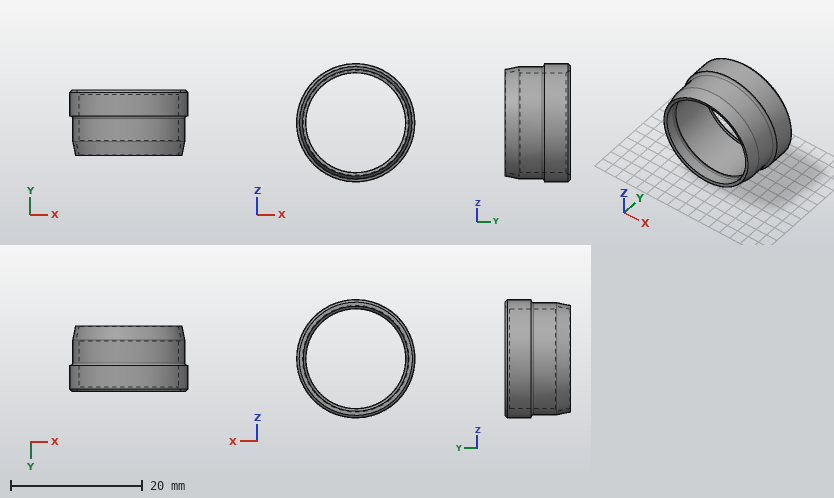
import cadquery as cq

length = 10.0
collar_radius = 9.0
body_radius = 8.53
nose_radius = 8.1
bore_radius = 7.58

collar_length = 4.0
nose_length = 2.12
collar_chamfer = 0.4
neck_fillet = 0.4
back_chamfer_depth = 0.41
back_chamfer_length = 0.72

seat_depth = 2.29
seat_fillet = 0.16

front = -length / 2
back = length / 2
shoulder = back - collar_length
seat = front + seat_depth

taper = (body_radius - nose_radius) / nose_length
mouth = front + taper * (nose_radius - bore_radius)
seat_radius = bore_radius + taper * (seat - mouth)

ring = (
    cq.Workplane("XY")
    .moveTo(bore_radius, mouth)
    .lineTo(nose_radius, front)
    .lineTo(body_radius, front + nose_length)
    .lineTo(body_radius, shoulder - neck_fillet)
    .radiusArc((body_radius + neck_fillet, shoulder), neck_fillet)
    .lineTo(collar_radius, shoulder)
    .lineTo(collar_radius, back - collar_chamfer)
    .lineTo(collar_radius - collar_chamfer, back)
    .lineTo(bore_radius + back_chamfer_depth, back)
    .lineTo(bore_radius, back - back_chamfer_length)
    .lineTo(bore_radius, seat)
    .lineTo(seat_radius, seat)
    .close()
    .revolve(360, (0, 0), (0, 1))
)

tolerance = 0.0002
seat_corner = [
    edge
    for edge in ring.edges("%CIRCLE").vals()
    if abs(edge.startPoint().y - seat) < tolerance
    and abs(edge.radius() - seat_radius) < tolerance
]
result = cq.Workplane(ring.val().fillet(seat_fillet, seat_corner))